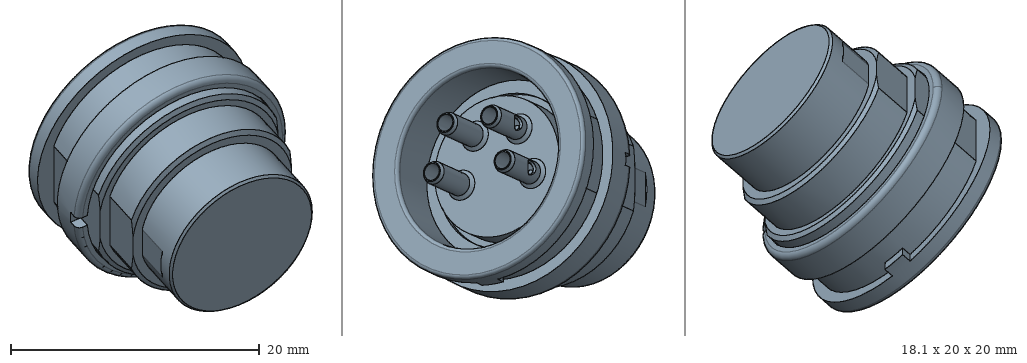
import cadquery as cq
import math


flange_diameter = 20.0
flange_thickness = 1.5
flange_round = 0.3
thread_diameter = 18.0
thread_end = 8.5
thread_flats = 16.9
shoulder_diameter = 16.0
shoulder_end = 12.0
shoulder_flats = 15.05
step_chamfer_length = 0.25
step_chamfer_height = 0.41
spigot_diameter = 13.6
spigot_end = 16.5
spigot_flats = 13.3
spigot_flat_end = 15.05
spigot_chamfer = 0.2

key_length = 0.85
key_width = 2.0

cavity_diameter = 15.0
cavity_depth = 4.5
cavity_mouth_round = 0.3
boss_diameter = 11.7
boss_front = 3.0
groove_diameter = 12.85
groove_depth = 0.5

pin_count = 4
pin_circle_radius = 3.5
first_pin_angle = -18.0
pin_spacing_angle = 72.0
pin_diameter = 1.9
pin_front = -1.6
pin_tip_diameter = 1.6
pin_tip_length = 0.35
pin_base_chamfer = 0.3
cup_diameter = 1.4
cup_depth = 4.0
cup_cone_length = 0.3
cup_bottom_diameter = 0.45
side_hole_diameter = 1.2
side_hole_x = 1.4

nut_diameter = flange_diameter
nut_bore = 18.1
nut_start = 4.5
nut_end = 7.5
nut_round = 0.5
nut_slot_width = 1.05
nut_slot_depth = 1.0


def cylinder(diameter, start, end):
    """Cylinder around the X axis from start to end."""
    return cq.Workplane("YZ", origin=(start, 0, 0)).circle(diameter / 2).extrude(end - start)


def turned(profile):
    """Solid of revolution around the X axis from (x, radius) points."""
    return cq.Workplane("XY").polyline(profile).close().revolve(360, (0, 0, 0), (1, 0, 0))


def between_flats(body, start, end, flats):
    """Part of a body from start to end that lies between flats facing +Y and -Y."""
    slab = cq.Workplane("XY", origin=(start, 0, 0)).box(
        end - start, flats, flange_diameter, centered=(False, True, True)
    )
    return body.intersect(slab)


def make_step(diameter, start, end, flats):
    """Round step with a steep chamfer at its rear edge and two flats."""
    radius = diameter / 2
    step = turned([
        (start, 0),
        (start, radius),
        (end - step_chamfer_length, radius),
        (end, radius - step_chamfer_height),
        (end, 0),
    ])
    return between_flats(step, start, end, flats)


def make_spigot():
    """Rear spigot with a chamfered end and flats over part of its length."""
    front_part = cylinder(spigot_diameter, shoulder_end, spigot_flat_end)
    front_part = between_flats(front_part, shoulder_end, spigot_flat_end, spigot_flats)
    rear_part = cylinder(spigot_diameter, spigot_flat_end, spigot_end)
    rear_part = rear_part.faces(">X").chamfer(spigot_chamfer)
    return front_part.union(rear_part)


def make_key():
    """Block at the bottom of the thread, rounded to the flange outline."""
    key_end = flange_thickness + key_length
    key_top = -thread_flats / 2
    block = cq.Workplane("XY").box(key_length, key_width, flange_diameter / 2 + key_top)
    block = block.translate((
        (flange_thickness + key_end) / 2,
        0,
        (key_top - flange_diameter / 2) / 2,
    ))
    return block.intersect(cylinder(flange_diameter, flange_thickness, key_end))


def make_shell():
    """Flange, rear steps and key, with the front cavity and its boss."""
    flange = cylinder(flange_diameter, 0, flange_thickness).faces("<X").edges().fillet(flange_round)
    shell = (
        flange
        .union(make_step(thread_diameter, flange_thickness, thread_end, thread_flats))
        .union(make_step(shoulder_diameter, thread_end, shoulder_end, shoulder_flats))
        .union(make_spigot())
        .union(make_key())
    )
    shell = shell.cut(cylinder(cavity_diameter, 0, cavity_depth))
    mouth_edge = cq.selectors.RadiusNthSelector(0)
    shell = shell.faces("<X").edges(mouth_edge).fillet(cavity_mouth_round)
    groove_floor = cavity_depth + groove_depth
    shell = shell.cut(cylinder(groove_diameter, cavity_depth, groove_floor))
    return shell.union(cylinder(boss_diameter, boss_front, groove_floor))


def make_pin():
    """Pin outside on the X axis: chamfered tip, straight shank and flared base on the boss."""
    radius = pin_diameter / 2
    return turned([
        (pin_front, 0),
        (pin_front, pin_tip_diameter / 2),
        (pin_front + pin_tip_length, radius),
        (boss_front - pin_base_chamfer, radius),
        (boss_front, radius + pin_base_chamfer),
        (boss_front, 0),
    ])


def make_cup(side):
    """Cavity of a pin: drilled cup and a side hole toward +Y (side = 1) or -Y (side = -1)."""
    cone_start = pin_front + cup_depth
    cone_end = cone_start + cup_cone_length
    cup = turned([
        (pin_front, 0),
        (pin_front, cup_diameter / 2),
        (cone_start, cup_diameter / 2),
        (cone_end, cup_bottom_diameter / 2),
        (cone_end, 0),
    ])
    side_hole = (
        cq.Workplane("XZ", origin=(side_hole_x, 0, 0))
        .circle(side_hole_diameter / 2)
        .extrude(-side * pin_diameter)
    )
    return cup.union(side_hole)


def make_housing():
    """Shell with its four pins; each side hole faces away from the vertical middle plane."""
    body = make_shell()
    for index in range(pin_count):
        angle = math.radians(first_pin_angle + index * pin_spacing_angle)
        y = pin_circle_radius * math.cos(angle)
        z = pin_circle_radius * math.sin(angle)
        side = math.copysign(1, y)
        body = body.union(make_pin().translate((0, y, z)))
        body = body.cut(make_cup(side).translate((0, y, z)))
    return body


def make_nut():
    """Ring nut with a rounded rear edge and one wrench slot on the -Y side."""
    ring = cylinder(nut_diameter, nut_start, nut_end).faces(">X").edges().fillet(nut_round)
    ring = ring.cut(cylinder(nut_bore, nut_start, nut_end))
    slot = cq.Workplane("XY").box(nut_slot_depth, nut_diameter / 2, nut_slot_width)
    slot = slot.translate((nut_end - nut_slot_depth / 2, -nut_diameter / 2, 0))
    return ring.cut(slot)


housing = make_housing()
nut = make_nut()
result = cq.Compound.makeCompound([housing.val(), nut.val()])